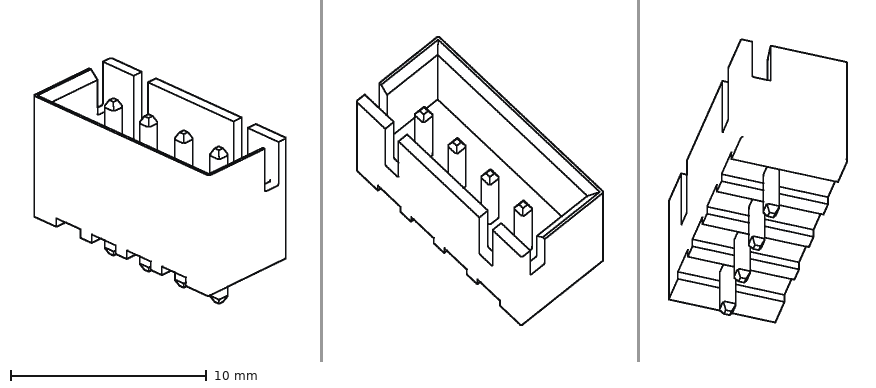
import cadquery as cq

length = 12.5
depth = 5.7
height = 7.0
wall = 0.6
floor_top = 2.0
edge_radius = 0.1

lip = 0.15
lead_in_size = wall - lip

slot_width = 1.0
slot_radius = 0.1
side_slot_depth = 2.5
rear_slot_depth = 3.7
rear_slot_offset = 3.55

pin_count = 4
pin_pitch = 2.5
pin_size = 0.7
pin_edge_radius = 0.1
pin_tip_size = 0.3
pin_taper = 0.4
pin_bottom = -2.5
pin_top = 6.4
pin_to_rear = 2.4
channel_width = 1.7
channel_height = 0.5

front_y = -depth / 2
rear_y = depth / 2
inner_front_y = front_y + wall
inner_rear_y = rear_y - wall
inner_length = length - 2 * wall
pin_y = rear_y - pin_to_rear
pin_positions = [(i - (pin_count - 1) / 2) * pin_pitch for i in range(pin_count)]


def box(x_size, y_min, y_max, z_min, z_max, x_center=0):
    """Box centred on x_center in X and spanning the given Y and Z limits."""
    return (
        cq.Workplane("XY", origin=(x_center, (y_min + y_max) / 2, z_min))
        .rect(x_size, y_max - y_min)
        .extrude(z_max - z_min)
    )


def shell():
    """Box with rounded upright corners and lower end edges, hollowed from the top."""
    block = box(length, front_y, rear_y, 0, height)
    block = block.edges("|Z or (|Y and <Z)").fillet(edge_radius)
    cavity = box(inner_length, inner_front_y, inner_rear_y, floor_top, height)
    return block.cut(cavity)


def lead_in():
    """Sloped mouth that widens the cavity at the front and both ends, not at the rear."""
    slope_bottom = height - lead_in_size
    mouth = (
        cq.Workplane("XY", origin=(0, 0, height))
        .rect(length - 2 * lip, depth - 2 * lip)
        .extrude(-lead_in_size, taper=45)
    )
    return mouth.intersect(box(length, front_y, inner_rear_y, slope_bottom, height))


def side_slots():
    """One slot through both end walls, running along the rear wall."""
    slot = box(length, inner_rear_y - slot_width, inner_rear_y, height - side_slot_depth, height)
    return slot.edges("|X and <Z").fillet(slot_radius)


def rear_slot(x):
    """Slot through the rear wall."""
    slot = box(slot_width, inner_rear_y, rear_y, height - rear_slot_depth, height, x)
    return slot.edges("|Y and <Z").fillet(slot_radius)


def channel(x):
    """Relief across the underside of the housing, from front to rear."""
    return box(channel_width, front_y, rear_y, 0, channel_height, x)


def pin_tip(x, end_z, rise):
    """Square taper from the blunt pin end at end_z to the full section, rise away in Z."""
    return (
        cq.Workplane("XY", origin=(x, pin_y, end_z))
        .rect(pin_tip_size, pin_tip_size)
        .workplane(offset=rise)
        .rect(pin_size, pin_size)
        .loft(ruled=True)
    )


def pin(x):
    """Square pin, tapered at both ends, with its long edges rounded."""
    pin_front = pin_y - pin_size / 2
    pin_rear = pin_y + pin_size / 2
    shank = box(pin_size, pin_front, pin_rear, pin_bottom + pin_taper, pin_top - pin_taper, x)
    tapered = shank.union(pin_tip(x, pin_bottom, pin_taper)).union(pin_tip(x, pin_top, -pin_taper))
    rounded = box(pin_size, pin_front, pin_rear, pin_bottom, pin_top, x).edges("|Z").fillet(pin_edge_radius)
    return tapered.intersect(rounded)


result = shell().cut(lead_in()).cut(side_slots())
for slot_x in (-rear_slot_offset, rear_slot_offset):
    result = result.cut(rear_slot(slot_x))
for pin_x in pin_positions:
    result = result.cut(channel(pin_x)).union(pin(pin_x))